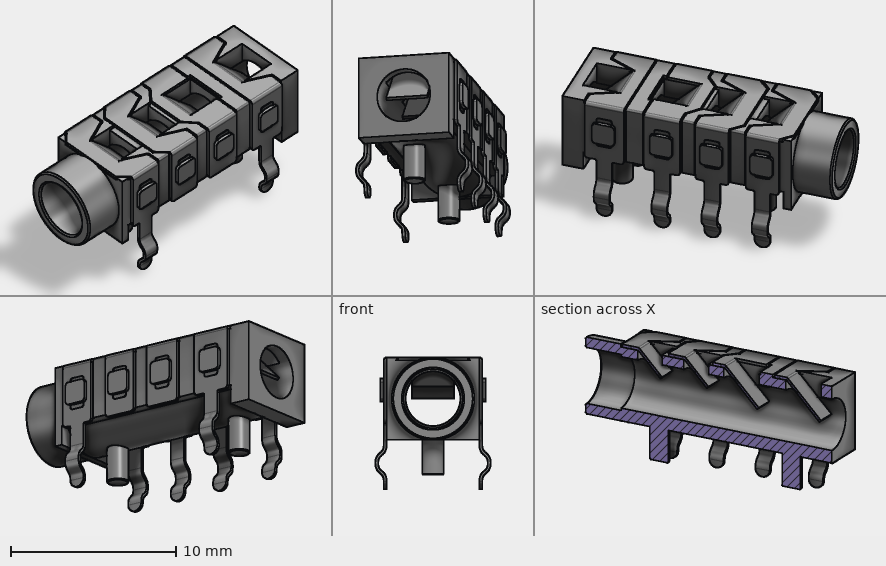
import cadquery as cq
import math


OVERALL_LENGTH = 17.2
NOSE_LENGTH = 2.5
BLOCK_LENGTH = OVERALL_LENGTH - NOSE_LENGTH
NOSE_RADIUS = 5.0 / 2
TOP = NOSE_RADIUS
BOTTOM = -NOSE_RADIUS
BLOCK_HALF = 2.8
RIB_HALF = 2.89
RIB_FILLET = 0.1
NOSE_CHAMFER = 0.1
ENTRY_DIAMETER = 3.6
BORE_DIAMETER = 3.3
ENTRY_CHAMFER = 0.1
FLANK_BOTTOM = -1.3
UNDERCUT_FRONT = 0.5
UNDERCUT_REAR = 13.35
PEG_DIAMETER = 1.3
PEG_LENGTH = 2.12
PEG_CHAMFER = 0.07
PEG_ROOT = 0.52
PEG_CENTERS = [2.63, 11.85]

SHEET = 0.19
CONTACT_HALF = BLOCK_HALF + SHEET
RECESS_FLOOR = TOP - SHEET
LEAF_ANGLE = math.radians(45)
GAP = 0.1
SHOULDER_FILLET = 0.2
WINDOW_HALF = 1.27
NOTCH_HALF = 2.06
PLATE_BOTTOM = -1.5
PLATE_FILLET = 0.2
LEG_FILLET = 0.12
LEG_WIDTH = 1.0
LEG_TIP = TOP - 8.0
BEND_START = -2.8
BEND_END = LEG_TIP + LEG_WIDTH / 2
LEG_REACH = 7.0 / 2
BEND_STEEPNESS = 0.6

STAKE_HEIGHT = 0.52
STAKE_WIDTH = 1.43
STAKE_TALL = 1.41
STAKE_REACH = 3.2
POST_REACH = 2.95
STAKE_FILLET = 0.22
SLOT_WIDTH = 1.0
SLOT_TALL = 2.0
SLOT_FILLET = 0.17

WIDE_TONGUE = (BLOCK_HALF, 2.12, 0.67)
NARROW_TONGUE = (2.1, WINDOW_HALF, 0.72)
CONTACTS = [
    dict(center=1.79, half_length=1.07, leaf_root=1.15, leaf_end=2.85, tongue=WIDE_TONGUE,
         flared=True, clearance=(WINDOW_HALF, 3.29), leg_sides=(-1, 1)),
    dict(center=5.02, half_length=1.07, leaf_root=4.37, leaf_end=6.09, tongue=WIDE_TONGUE,
         flared=True, clearance=(WINDOW_HALF, 6.35), leg_sides=(-1,)),
    dict(center=8.24, half_length=1.15, leaf_root=7.17, leaf_end=9.6, tongue=NARROW_TONGUE,
         flared=False, clearance=(WINDOW_HALF + GAP, 9.6 + GAP), leg_sides=(-1,)),
    dict(center=11.95, half_length=1.25, leaf_root=11.49, leaf_end=13.93, tongue=None,
         flared=True, clearance=None, leg_sides=(-1, 1)),
]


def block(half_width, y_range, z_range):
    """Box centred on X = 0."""
    length, height = y_range[1] - y_range[0], z_range[1] - z_range[0]
    box = cq.Workplane("XY").box(2 * half_width, length, height)
    return box.translate((0, sum(y_range) / 2, sum(z_range) / 2))


def y_cylinder(diameter, y_range):
    """Cylinder on the bore axis."""
    return (
        cq.Workplane("XZ", origin=(0, y_range[0], 0))
        .circle(diameter / 2)
        .extrude(y_range[0] - y_range[1])
    )


def rounded_bar(center, width, tall, radius, half_width):
    """Bar along X with a rounded rectangular section, at the height of the stakes."""
    return (
        cq.Workplane("XY")
        .box(2 * half_width, width, tall)
        .edges("|X")
        .fillet(radius)
        .translate((0, center, STAKE_HEIGHT))
    )


def plate_outline(contact):
    """Outline of the contact seen from above: rear notch around the leaf, tongue at the front."""
    front = contact["center"] - contact["half_length"]
    rear = contact["center"] + contact["half_length"]
    mouth = NOTCH_HALF if contact["flared"] else WINDOW_HALF
    half = [
        (WINDOW_HALF, contact["leaf_root"]),
        (mouth, rear),
        (CONTACT_HALF, rear),
        (CONTACT_HALF, front),
    ]
    if contact["tongue"]:
        outer, inner, depth = contact["tongue"]
        half += [(outer, front), (inner, front - depth)]
    mirrored = [(-x, y) for x, y in reversed(half)]
    return cq.Workplane("XY").polyline(half + mirrored).close()


def side_plate(contact, side):
    """Side plate with the straight part of its leg, if that side has one."""
    center, half = contact["center"], contact["half_length"]
    plate = block(SHEET / 2, (center - half, center + half), (PLATE_BOTTOM, TOP))
    plate = plate.edges("|X and <Z").fillet(PLATE_FILLET)
    if side in contact["leg_sides"]:
        leg_range = (center - LEG_WIDTH / 2, center + LEG_WIDTH / 2)
        plate = plate.union(block(SHEET / 2, leg_range, (BEND_START, 0)))
        root = cq.selectors.BoxSelector(
            (-SHEET, leg_range[0] - GAP, PLATE_BOTTOM - GAP),
            (SHEET, leg_range[1] + GAP, PLATE_BOTTOM + GAP),
        )
        plate = plate.edges("|X").edges(root).fillet(LEG_FILLET)
    return plate.translate((side * (BLOCK_HALF + SHEET / 2), 0, 0))


def leg_end(contact, side):
    """Snap bend of a leg, bulging outward, and its straight round tip."""
    rest = BLOCK_HALF + SHEET / 2
    peak = LEG_REACH - SHEET / 2
    middle = (BEND_START + BEND_END) / 2
    pull = BEND_STEEPNESS * (BEND_START - middle)
    path = (
        cq.Workplane("XZ")
        .moveTo(rest, BEND_START)
        .bezier([(rest, BEND_START - pull), (peak, middle + pull), (peak, middle)], includeCurrent=True)
        .bezier([(peak, middle - pull), (rest, BEND_END + pull), (rest, BEND_END)], includeCurrent=True)
    )
    bend = cq.Workplane("XY", origin=(rest, 0, BEND_START)).rect(SHEET, LEG_WIDTH).sweep(path)
    tip = (
        cq.Workplane("YZ", origin=(BLOCK_HALF, 0, 0))
        .moveTo(-LEG_WIDTH / 2, BEND_END)
        .threePointArc((0, LEG_TIP), (LEG_WIDTH / 2, BEND_END))
        .close()
        .extrude(SHEET)
    )
    end = bend.union(tip).translate((0, contact["center"], 0))
    return end if side > 0 else end.mirror("YZ")


def leaf_spring(contact):
    """Leaf bent down from the top plate, running rearward into the bore."""
    root, end = contact["leaf_root"], contact["leaf_end"]

    def bend_point(angle):
        return root + SHEET * math.sin(angle), RECESS_FLOOR + SHEET * math.cos(angle)

    bend_y, bend_z = bend_point(LEAF_ANGLE)
    end_z = bend_z - (end - bend_y) * math.tan(LEAF_ANGLE)
    return (
        cq.Workplane("YZ", origin=(-WINDOW_HALF, 0, 0))
        .moveTo(root, TOP)
        .threePointArc(bend_point(LEAF_ANGLE / 2), (bend_y, bend_z))
        .lineTo(end, end_z)
        .lineTo(end - SHEET * math.sin(LEAF_ANGLE), end_z - SHEET * math.cos(LEAF_ANGLE))
        .lineTo(root, RECESS_FLOOR)
        .close()
        .extrude(2 * WINDOW_HALF)
    )


def make_contact(contact):
    """Sheet metal contact straddling the housing."""
    body = plate_outline(contact).extrude(SHEET).translate((0, 0, RECESS_FLOOR))
    for side in (-1, 1):
        body = body.union(side_plate(contact, side))
    envelope = block(CONTACT_HALF, (-NOSE_LENGTH, BLOCK_LENGTH), (LEG_TIP, TOP))
    body = body.intersect(envelope.edges("|Y and >Z").fillet(SHOULDER_FILLET))
    body = body.cut(rounded_bar(contact["center"], SLOT_WIDTH, SLOT_TALL, SLOT_FILLET, LEG_REACH))
    for side in contact["leg_sides"]:
        body = body.union(leg_end(contact, side))
    return body.union(leaf_spring(contact))


def contact_groove(contact):
    """Shallow channel over the top and down both flanks, one gap wider than the contact."""
    height = TOP - BOTTOM
    channel = plate_outline(contact).offset2D(GAP, "intersection").extrude(height).translate((0, 0, BOTTOM))
    core = block(BLOCK_HALF, (-NOSE_LENGTH, BLOCK_LENGTH), (BOTTOM, RECESS_FLOOR))
    groove = channel.cut(core)
    if contact["clearance"]:
        half, rear = contact["clearance"]
        groove = groove.union(block(half, (contact["leaf_root"], rear), (RECESS_FLOOR, TOP)))
    return groove


def heat_stakes(contact):
    """Stake on each flank: a post filling the slot, and a head that overlaps the contact."""
    center = contact["center"]
    post = rounded_bar(center, SLOT_WIDTH, SLOT_TALL, SLOT_FILLET, POST_REACH)
    head = rounded_bar(center, STAKE_WIDTH, STAKE_TALL, STAKE_FILLET, STAKE_REACH)
    plates = block(CONTACT_HALF, (0, BLOCK_LENGTH), (BOTTOM, TOP))
    seat = rounded_bar(center, SLOT_WIDTH, STAKE_TALL, SLOT_FILLET, CONTACT_HALF)
    core = block(BLOCK_HALF, (0, BLOCK_LENGTH), (BOTTOM, TOP))
    return post.union(seat).union(head.cut(plates)).cut(core)


def locating_peg(center):
    """Round peg under the housing, rooted in the wall below the bore."""
    return (
        cq.Workplane("XY", origin=(0, center, BOTTOM - PEG_LENGTH))
        .circle(PEG_DIAMETER / 2)
        .extrude(PEG_LENGTH + PEG_ROOT)
        .faces("<Z")
        .chamfer(PEG_CHAMFER)
    )


def entry_cone():
    """Lead-in chamfer at the mouth of the bore."""
    mouth_radius = ENTRY_DIAMETER / 2 + ENTRY_CHAMFER
    return cq.Workplane(
        cq.Solid.makeCone(
            mouth_radius, ENTRY_DIAMETER / 2, ENTRY_CHAMFER, cq.Vector(0, -NOSE_LENGTH, 0), cq.Vector(0, 1, 0)
        )
    )


def make_housing():
    """Plastic housing with nose, ribs, contact recesses, windows, pegs and heat stakes."""
    first, last = CONTACTS[0]["center"], CONTACTS[-1]["center"]
    body = block(RIB_HALF, (first, last), (BOTTOM, TOP)).edges("|Y and >Z").fillet(RIB_FILLET)
    body = body.union(block(BLOCK_HALF, (0, first), (BOTTOM, TOP)))
    body = body.union(block(BLOCK_HALF, (last, BLOCK_LENGTH), (BOTTOM, TOP)))

    undercut = block(CONTACT_HALF, (UNDERCUT_FRONT, UNDERCUT_REAR), (BOTTOM, FLANK_BOTTOM))
    body = body.cut(undercut.cut(y_cylinder(2 * NOSE_RADIUS, (UNDERCUT_FRONT, UNDERCUT_REAR))))

    for contact in CONTACTS:
        body = body.cut(contact_groove(contact))
        body = body.cut(block(WINDOW_HALF, (contact["leaf_root"], contact["leaf_end"]), (0, TOP)))
    for center in PEG_CENTERS:
        body = body.union(locating_peg(center))

    nose = y_cylinder(2 * NOSE_RADIUS, (-NOSE_LENGTH, 0)).faces("<Y").chamfer(NOSE_CHAMFER)
    body = body.union(nose)
    body = body.cut(y_cylinder(BORE_DIAMETER, (-NOSE_LENGTH, BLOCK_LENGTH)))
    body = body.cut(y_cylinder(ENTRY_DIAMETER, (-NOSE_LENGTH, 0)))
    body = body.cut(entry_cone())

    for contact in CONTACTS:
        body = body.union(heat_stakes(contact))
    return body


housing = make_housing()
contacts = [make_contact(contact) for contact in CONTACTS]

result = cq.Compound.makeCompound(
    [housing.solids().val(), *[contact.solids().val() for contact in contacts]]
)